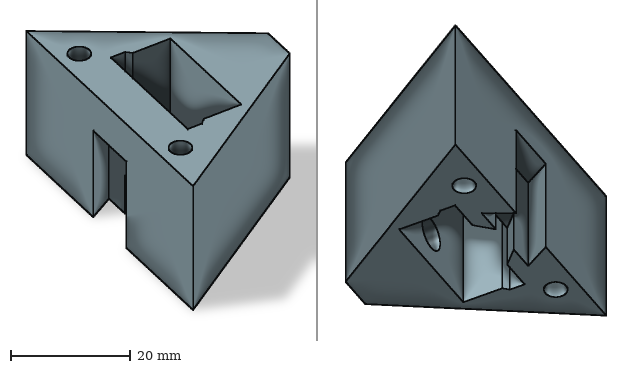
import cadquery as cq

base_width = 51.8
back_width = 6.8
depth = 33.8
height = 26.0

window_front_y = 7.9
window_back_y = 19.2
window_wide_width = 23.85
window_narrow_width = 22.0
window_step_y = 10.75
window_step_depth = (window_wide_width - window_narrow_width) / 2

screw_diameter = 4.0
screw_spacing = 31.4
screw_y = 4.05

slot_mouth_width = 10.2
slot_inner_width = 16.0
slot_depth = 5.0
slot_height = 18.1

cable_diameter = 6.1
notch_height = 8.0
bore_z = 7.0


def symmetric_prism(profile, prism_height):
    """Extrude upwards a mirrored outline given as (full width, y) pairs."""
    right_side = [(width / 2, y) for width, y in profile]
    left_side = [(-x, y) for x, y in reversed(right_side)]
    return cq.Workplane("XY").polyline(right_side + left_side).close().extrude(prism_height)


def make_body():
    return symmetric_prism([(base_width, 0), (back_width, depth)], height)


def make_window():
    profile = [
        (window_wide_width, window_front_y),
        (window_wide_width, window_step_y),
        (window_narrow_width, window_step_y + window_step_depth),
        (window_narrow_width, window_back_y),
    ]
    return symmetric_prism(profile, height)


def make_screw_holes():
    centres = [(-screw_spacing / 2, screw_y), (screw_spacing / 2, screw_y)]
    return cq.Workplane("XY").pushPoints(centres).circle(screw_diameter / 2).extrude(height)


def make_dovetail_slot():
    return symmetric_prism([(slot_mouth_width, 0), (slot_inner_width, slot_depth)], slot_height)


def make_cable_notch():
    flare_depth = window_front_y - slot_depth
    profile = [
        (cable_diameter, slot_depth),
        (cable_diameter + 2 * flare_depth, window_front_y),
    ]
    return symmetric_prism(profile, notch_height)


def make_cable_bore():
    return (
        cq.Workplane("XZ", origin=(0, window_front_y, bore_z))
        .circle(cable_diameter / 2)
        .extrude(-(depth - window_front_y))
    )


result = (
    make_body()
    .cut(make_window())
    .cut(make_screw_holes())
    .cut(make_dovetail_slot())
    .cut(make_cable_notch())
    .cut(make_cable_bore())
)